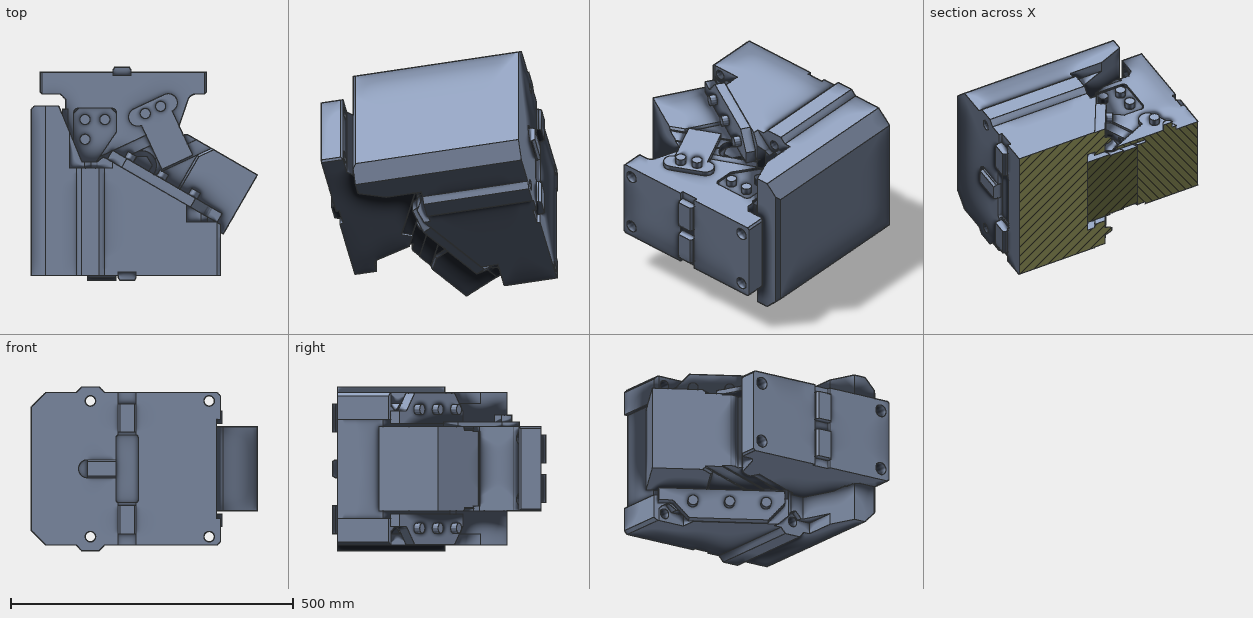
import cadquery as cq
import math

INCLINE_ANGLE = 30.0
DRIVE_ANGLE = 25.0
FAR = 400.0
CLEARANCE = 1.0

KEY_WIDTH = 32.0
KEY_LENGTH = 50.0
KEY_PROUD = 8.5
KEY_SEAT = 6.0
KEY_CHAMFER = (3.0, 5.0)

SCREW_RADIUS = 9.0
SCREW_HEIGHT = 12.0

BODY_HALF = 74.5

BASE_LEFT = -170.0
BASE_RIGHT = 165.0
BASE_TOP = 300.0
BASE_HALF = 135.0
BASE_LEFT_CHAMFER = 26.0
BASE_EDGE_CHAMFER = 6.0
TRACK_END_Y = 90.5

V_FLOOR = 201.0
V_LEFT = -80.0
V_RIGHT = -53.4
V_WALL_ANGLE = 22.5
TRACK_PEAK_X = -42.0
TRACK_PEAK_Y = TRACK_END_Y + (BASE_RIGHT - TRACK_PEAK_X) * math.tan(math.radians(INCLINE_ANGLE))
TRACK_LENGTH = (BASE_RIGHT - TRACK_PEAK_X) / math.cos(math.radians(INCLINE_ANGLE))

BOLT_X = (-65.0, 145.0)
BOLT_Z = 120.0
BOLT_HOLE = 18.0

LUG_X = BOLT_X[0]
LUG_HALF_WIDTH = 25.0
LUG_TOP_HALF_WIDTH = 15.5
LUG_PROUD = 10.0
LUG_LENGTH = 190.0

CHANNEL_HALF = 87.5
CHANNEL_DEPTH = 12.5
CHANNEL_END_X = 158.0

GIB_START = -231.0
GIB_LENGTH = 224.0
GIB_THICKNESS = 18.0
GIB_INNER = 80.0
GIB_HALF = 134.0
GIB_END_HALF = 102.0
GIB_FLAT_START = 29.2
GIB_FLAT_END = 169.8
GIB_FILLET = 10.0
GIB_SCREWS = (34.0, 99.0, 164.0)
GIB_SCREW_Z = 105.0

DRIVE_X, DRIVE_Y = -48.5, 210.2
DRIVE_DEPTH = 20.0


def mirrored(body):
    """The body together with its mirror image across Z = 0."""
    return body.union(body.mirror("XY"))


def prism(points, z_low, z_high):
    """XY outline extruded between two Z levels."""
    return cq.Workplane("XY", origin=(0, 0, z_low)).polyline(points).close().extrude(z_high - z_low)


def box(x, y, z):
    """Box from three (low, high) pairs."""
    size = [high - low for low, high in (x, y, z)]
    return cq.Workplane("XY").box(*size, centered=False).translate((x[0], y[0], z[0]))


def on_track(body):
    """Place a body drawn with X along the track and Y normal to it."""
    return body.rotate((0, 0, 0), (0, 0, 1), -INCLINE_ANGLE).translate((BASE_RIGHT, TRACK_END_Y, 0))


def on_drive(body):
    """Place a body drawn with X along the driving face and -Y below it."""
    return body.rotate((0, 0, 0), (0, 0, 1), DRIVE_ANGLE).translate((DRIVE_X, DRIVE_Y, 0))


def drive_point(along, below):
    """XY point at a distance along the driving face and a distance below it."""
    angle = math.radians(DRIVE_ANGLE)
    return (
        DRIVE_X + along * math.cos(angle) + below * math.sin(angle),
        DRIVE_Y + along * math.sin(angle) - below * math.cos(angle),
    )


def key():
    """Key along Z with its seat face on Y = 0 and both upper long edges chamfered."""
    height = KEY_SEAT + KEY_PROUD
    half = KEY_WIDTH / 2
    across, drop = KEY_CHAMFER
    return prism(
        [(-half, 0), (half, 0), (half, height - drop), (half - across, height),
         (across - half, height), (-half, height - drop)],
        -KEY_LENGTH / 2, KEY_LENGTH / 2,
    )


def base_block():
    side = BASE_EDGE_CHAMFER
    v_top_x = V_LEFT - (BASE_TOP - V_FLOOR) * math.tan(math.radians(V_WALL_ANGLE))
    plan = prism(
        [(BASE_LEFT, 0), (BASE_RIGHT, 0), (BASE_RIGHT, TRACK_END_Y), (TRACK_PEAK_X, TRACK_PEAK_Y),
         (V_RIGHT, V_FLOOR), (V_LEFT, V_FLOOR), (v_top_x, BASE_TOP),
         (BASE_LEFT + side, BASE_TOP), (BASE_LEFT, BASE_TOP - side)],
        -BASE_HALF, BASE_HALF,
    )
    corner = BASE_HALF - BASE_LEFT_CHAMFER
    front = (
        cq.Workplane("XZ")
        .polyline([(BASE_LEFT, -corner), (BASE_LEFT + BASE_LEFT_CHAMFER, -BASE_HALF),
                   (BASE_RIGHT - side, -BASE_HALF), (BASE_RIGHT, side - BASE_HALF),
                   (BASE_RIGHT, BASE_HALF - side), (BASE_RIGHT - side, BASE_HALF),
                   (BASE_LEFT + BASE_LEFT_CHAMFER, BASE_HALF), (BASE_LEFT, corner)])
        .close()
        .extrude(-BASE_TOP)
    )
    return plan.intersect(front)


def lug():
    """Trapezoidal rib along one bolt line, on the +Z side."""
    return (
        cq.Workplane("XZ")
        .polyline([(LUG_X - LUG_HALF_WIDTH, BASE_HALF), (LUG_X + LUG_HALF_WIDTH, BASE_HALF),
                   (LUG_X + LUG_TOP_HALF_WIDTH, BASE_HALF + LUG_PROUD),
                   (LUG_X - LUG_TOP_HALF_WIDTH, BASE_HALF + LUG_PROUD)])
        .close()
        .extrude(-LUG_LENGTH)
    )


POCKET_WIDTH = 75.3
POCKET_LEDGE = 25.8
POCKET_VALLEY = 37.4
POCKET_RADIUS = 15.5
POCKETS = ((-101.6, LUG_LENGTH), (104.5, 95.0))


def bolt_pocket(left, seat):
    """Clearance for a mounting bolt head: a 45-degree valley rounded on its right side."""
    top = BASE_HALF + LUG_PROUD
    right = left + POCKET_WIDTH
    valley_x = left + POCKET_VALLEY
    arc_run = POCKET_RADIUS * math.sin(math.radians(45))
    arc_rise = POCKET_RADIUS - arc_run
    slope_end_z = BASE_HALF - (right - valley_x - arc_run)
    valley_z = slope_end_z - arc_rise
    ledge_z = valley_z + POCKET_VALLEY - POCKET_LEDGE
    half_turn = math.radians(22.5)
    arc_mid = (
        valley_x + POCKET_RADIUS * math.sin(half_turn),
        valley_z + POCKET_RADIUS * (1 - math.cos(half_turn)),
    )
    return (
        cq.Workplane("XZ", origin=(0, seat, 0))
        .moveTo(left, top)
        .lineTo(left, ledge_z)
        .lineTo(left + POCKET_LEDGE, ledge_z)
        .lineTo(valley_x, valley_z)
        .threePointArc(arc_mid, (valley_x + arc_run, slope_end_z))
        .lineTo(right, BASE_HALF)
        .lineTo(right, top)
        .close()
        .extrude(-FAR)
    )


def slide_channel():
    """Sunken floor of the track, with the relief it leaves in the +X side."""
    half = (-CHANNEL_HALF, CHANNEL_HALF)
    floor = on_track(box((-TRACK_LENGTH, FAR / 4), (-CHANNEL_DEPTH, FAR / 4), half))
    return floor.union(box((CHANNEL_END_X, BASE_RIGHT + CLEARANCE), (-CLEARANCE, BASE_TOP), half))


def gib():
    """Retaining strip on the +Z side of the track, with its three screws."""
    start, end = GIB_START, GIB_START + GIB_LENGTH
    ramp_end = GIB_FLAT_END + GIB_FLAT_START
    strip = (
        cq.Workplane("XZ")
        .polyline([(start, GIB_INNER), (end, GIB_INNER), (end, GIB_END_HALF),
                   (start + ramp_end, GIB_END_HALF), (start + GIB_FLAT_END, GIB_HALF),
                   (start + GIB_FLAT_START, GIB_HALF), (start, GIB_END_HALF)])
        .close()
        .extrude(-GIB_THICKNESS)
        .edges(cq.selectors.NearestToPointSelector((start + ramp_end, GIB_THICKNESS / 2, GIB_END_HALF)))
        .fillet(GIB_FILLET)
    )
    screws = (
        cq.Workplane("XZ", origin=(0, GIB_THICKNESS, 0))
        .pushPoints([(start + along, GIB_SCREW_Z) for along in GIB_SCREWS])
        .circle(SCREW_RADIUS)
        .extrude(-SCREW_HEIGHT)
    )
    return on_track(strip.union(screws))


SIDE_KEY_Z = 90.0
RELIEF_HALF_WIDTH = 19.7
RELIEF_HALF_HEIGHT = 60.0
RELIEF_DEPTH = 9.0
RELIEF_CORNER = 5.0
CROSS_KEY_END = -70.0


def base_keyways():
    """Vertical keyway, its deeper middle relief and the horizontal keyway."""
    half = KEY_WIDTH / 2
    vertical = box((-half, half), (0, KEY_SEAT), (-BASE_HALF - CLEARANCE, BASE_HALF + CLEARANCE))
    relief = box(
        (-RELIEF_HALF_WIDTH, RELIEF_HALF_WIDTH), (0, RELIEF_DEPTH),
        (-RELIEF_HALF_HEIGHT, RELIEF_HALF_HEIGHT),
    ).edges("|Y").fillet(RELIEF_CORNER)
    cross = box((CROSS_KEY_END, 0), (0, KEY_SEAT), (-half, half))
    round_end = cq.Workplane("XZ", origin=(CROSS_KEY_END, 0, 0)).circle(half).extrude(-KEY_SEAT)
    return vertical.union(relief).union(cross).union(round_end)


def base_keys():
    seated = key().rotate((0, 0, 0), (0, 0, 1), 180).translate((0, KEY_SEAT, 0))
    keys = mirrored(seated.translate((0, 0, SIDE_KEY_Z)))
    cross = seated.rotate((0, 0, 0), (0, 1, 0), 90).translate((CROSS_KEY_END + KEY_LENGTH / 2, 0, 0))
    return keys.union(cross)


def bolt_holes():
    points = [(x, z) for x in BOLT_X for z in (-BOLT_Z, BOLT_Z)]
    return cq.Workplane("XZ").pushPoints(points).circle(BOLT_HOLE / 2).extrude(-BASE_TOP)


def make_base():
    body = base_block().union(mirrored(lug()))
    for left, seat in POCKETS:
        body = body.cut(mirrored(bolt_pocket(left, seat)))
    body = body.cut(slide_channel()).cut(bolt_holes()).cut(base_keyways())
    return body.union(mirrored(gib())).union(base_keys())


DRIVER_TOP = 360.0
PLATE_LEFT, PLATE_RIGHT = -154.0, 140.0
PLATE_BOTTOM = 321.0
PLATE_CHAMFER = 3.5
NECK_LEFT = -108.8
NECK_CHAMFER = 9.5
GUIDE_TOP = 294.5
GUIDE_LEFT = -114.6
GUIDE_RIGHT = -104.5
GUIDE_HALF = 70.0
NOSE_RIGHT = -54.8
NOSE_TIP = -4.0
FLANK_ANGLE = 19.0
FLANK_TOP_X = 111.2
FLANK_FILLET = 15.0
PAD_START, PAD_END = 9.0, 115.0
WING_HOLE_X = (-136.0, 122.0)
WING_HOLE_Z = 54.0
WING_HOLE = 22.0
DRIVER_KEY_X = -9.2
DRIVER_KEY_Z = 35.0


def v_wall_y(x):
    """Height of the left V wall at a given X."""
    return V_FLOOR + (V_LEFT - x) / math.tan(math.radians(V_WALL_ANGLE))


def flank_end():
    """Point where the +X flank meets the bottom of the wear pad."""
    flank = math.tan(math.radians(FLANK_ANGLE))
    drive = math.tan(math.radians(DRIVE_ANGLE))
    start_x, start_y = drive_point(0, DRIVE_DEPTH)
    y = (start_y + drive * (FLANK_TOP_X - flank * PLATE_BOTTOM - start_x)) / (1 - drive * flank)
    return (FLANK_TOP_X - flank * (PLATE_BOTTOM - y), y)


def driver_plate():
    plate = box((PLATE_LEFT, PLATE_RIGHT), (PLATE_BOTTOM, DRIVER_TOP), (-BODY_HALF, BODY_HALF))
    return plate.edges("|Y or (|Z and <Y)").chamfer(PLATE_CHAMFER)


def driver_core():
    mid_y = (PLATE_BOTTOM + DRIVER_TOP) / 2
    core = prism(
        [(NECK_LEFT - NECK_CHAMFER, mid_y), (NECK_LEFT - NECK_CHAMFER, PLATE_BOTTOM),
         (NECK_LEFT, PLATE_BOTTOM - NECK_CHAMFER), (NECK_LEFT, GUIDE_TOP), (GUIDE_RIGHT, GUIDE_TOP),
         (GUIDE_RIGHT, v_wall_y(GUIDE_RIGHT)), (V_LEFT, V_FLOOR), (NOSE_RIGHT, V_FLOOR),
         drive_point(NOSE_TIP, 0), drive_point(PAD_END, 0), drive_point(PAD_END, DRIVE_DEPTH), flank_end(),
         (FLANK_TOP_X, PLATE_BOTTOM), (PLATE_RIGHT - 2 * PLATE_CHAMFER, PLATE_BOTTOM),
         (PLATE_RIGHT - 2 * PLATE_CHAMFER, mid_y)],
        -BODY_HALF, BODY_HALF,
    )
    return core.edges(
        cq.selectors.NearestToPointSelector((FLANK_TOP_X, PLATE_BOTTOM, 0))
    ).fillet(FLANK_FILLET)


def guide_pad():
    return prism(
        [(GUIDE_RIGHT, GUIDE_TOP), (GUIDE_LEFT, GUIDE_TOP), (GUIDE_LEFT, v_wall_y(GUIDE_LEFT)),
         (GUIDE_RIGHT, v_wall_y(GUIDE_RIGHT))],
        -GUIDE_HALF, GUIDE_HALF,
    )


def wear_pad():
    """Pad under the driving face, filling the gap between the nose and the right V wall."""
    return prism(
        [drive_point(NOSE_TIP, 0), (NOSE_RIGHT, V_FLOOR), (V_RIGHT, V_FLOOR), (TRACK_PEAK_X, TRACK_PEAK_Y),
         drive_point(PAD_START, DRIVE_DEPTH), drive_point(PAD_END, DRIVE_DEPTH), drive_point(PAD_END, 0)],
        -GUIDE_HALF, GUIDE_HALF,
    )


STOP_LEFT, STOP_RIGHT = -94.7, -19.0
STOP_TOP = 296.0
STOP_SHOULDER = 254.0
RECESS_CORNER = 8.0
RECESS_FLOOR = 66.0
STOP_CHAMFER = 9.0
STOP_FACE = 70.5
STOP_SCREWS = ((-74.5, 276.0), (-39.5, 276.0), (-74.5, 241.0))


def stop_outline(z_low, z_high):
    """Outline shared by the stop plate and its recess, tapering down to the nose."""
    return prism(
        [(STOP_LEFT, STOP_TOP), (STOP_LEFT, v_wall_y(STOP_LEFT)), (V_LEFT, V_FLOOR),
         (NOSE_RIGHT, V_FLOOR), (STOP_RIGHT, STOP_SHOULDER), (STOP_RIGHT, STOP_TOP)],
        z_low, z_high,
    )


def stop_recess():
    return stop_outline(RECESS_FLOOR, BODY_HALF).faces(">Y").edges("|Z").fillet(RECESS_CORNER)


def stop_plate():
    """Plate in the recess, with its upper corners cut off and its three screws."""
    plate = stop_outline(RECESS_FLOOR, STOP_FACE).faces(">Y").edges("|Z").chamfer(STOP_CHAMFER)
    return plate.union(screws_on(STOP_SCREWS, STOP_FACE))


def screws_on(points, level):
    return (
        cq.Workplane("XY", origin=(0, 0, level))
        .pushPoints(points)
        .circle(SCREW_RADIUS)
        .extrude(SCREW_HEIGHT)
    )


ARM_X, ARM_Y = 45.6, 293.0
ARM_WIDTH = 60.0
ARM_HEAD_RADIUS = 16.0
ARM_LENGTH = 102.0
ARM_THICKNESS = 8.3
ARM_SCREW_PITCH = 30.0


def return_arm():
    """Hook plate on the +Z face of the driver, reaching down over the slider."""
    half = ARM_WIDTH / 2
    head_width = 2 * ARM_HEAD_RADIUS
    head = cq.Workplane("XY").slot2D(ARM_WIDTH + head_width, head_width).extrude(ARM_THICKNESS)
    strap = box((-half, half), (-ARM_LENGTH, 0), (0, ARM_THICKNESS))
    pitch = ARM_SCREW_PITCH / 2
    arm = head.union(strap).union(screws_on([(-pitch, 0), (pitch, 0)], ARM_THICKNESS))
    return arm.rotate((0, 0, 0), (0, 0, 1), DRIVE_ANGLE).translate((ARM_X, ARM_Y, BODY_HALF))


def wing_holes():
    """Mounting holes through both wings of the plate."""
    points = [(x, z) for x in WING_HOLE_X for z in (-WING_HOLE_Z, WING_HOLE_Z)]
    drilled = cq.Workplane("XZ", origin=(0, DRIVER_TOP, 0)).pushPoints(points).circle(WING_HOLE / 2)
    return drilled.extrude(DRIVER_TOP - PLATE_BOTTOM + FLANK_FILLET)


def make_driver():
    body = driver_plate().union(driver_core()).union(guide_pad()).union(wear_pad())
    body = body.cut(stop_recess()).union(stop_plate())
    half = KEY_WIDTH / 2
    seat = DRIVER_TOP - KEY_SEAT
    keyway = box(
        (DRIVER_KEY_X - half, DRIVER_KEY_X + half), (seat, DRIVER_TOP), (-BODY_HALF, BODY_HALF)
    )
    keys = mirrored(key().translate((DRIVER_KEY_X, seat, DRIVER_KEY_Z)))
    return body.cut(keyway).cut(wing_holes()).union(keys).union(return_arm())


SLIDER_START, SLIDER_END = -222.0, 12.82
SLIDER_HEIGHT = 108.5
SLIDER_TOP = 28.0
RIDGE_START, RIDGE_END = 45.0, 142.0
TOP_FILLET = 10.0
CROWN_HALF, SHOULDER_HALF, SKIRT_HALF = 66.0, 68.0, 70.5
SHOULDER_DEPTH, SKIRT_DEPTH = 45.0, 70.0
BLOCK_START = -97.0
BLOCK_BEVEL = 3.9

BORE_X, BORE_Y = 25.8, 194.8
BORE_RADIUS = 26.0
BORE_FLOOR = 56.0
HEX_DIAMETER = 37.0
HEX_HEIGHT = 8.0


def above_drive(depth):
    """Everything higher than a plane parallel to the driving face."""
    return on_drive(box((-FAR, FAR), (-depth, FAR), (-FAR, FAR)))


def slider_layer(start, half, depth):
    layer = on_track(box((start, SLIDER_END), (-CHANNEL_DEPTH, SLIDER_HEIGHT), (-half, half)))
    return layer.cut(above_drive(depth))


def bevel_strip():
    """Triangular cutter along Y for a 45-degree bevel on the +Z edge of a wall at X = 0."""
    return (
        cq.Workplane("XZ", origin=(0, FAR, 0))
        .polyline([(0, BODY_HALF - BLOCK_BEVEL), (BLOCK_BEVEL, BODY_HALF), (0, BODY_HALF)])
        .close()
        .extrude(2 * FAR)
    )


def slider_block():
    """Full-width block at the +X end, bevelled where it steps down to the skirt and the shoulder."""
    block = slider_layer(BLOCK_START, BODY_HALF, SKIRT_DEPTH)
    track_bevel = on_track(bevel_strip().translate((BLOCK_START, 0, 0)))
    drive_bevel = on_drive(bevel_strip().rotate((0, 0, 0), (0, 0, 1), -90).translate((0, -SKIRT_DEPTH, 0)))
    return block.cut(mirrored(track_bevel)).cut(mirrored(drive_bevel))


def make_slider():
    crown = slider_layer(SLIDER_START, CROWN_HALF, SLIDER_TOP).edges("|Z").edges(">Y").fillet(TOP_FILLET)
    ridge = on_drive(
        box((RIDGE_START, RIDGE_END), (-SHOULDER_DEPTH, -DRIVE_DEPTH), (-CROWN_HALF, CROWN_HALF))
    )
    shoulder = slider_layer(SLIDER_START, SHOULDER_HALF, SHOULDER_DEPTH)
    skirt = slider_layer(SLIDER_START, SKIRT_HALF, SKIRT_DEPTH)
    block = slider_block()
    body = crown.union(ridge).union(shoulder).union(skirt).union(block)
    bore = cq.Workplane("XY", origin=(BORE_X, BORE_Y, BORE_FLOOR)).circle(BORE_RADIUS).extrude(FAR)
    hexagon = (
        cq.Workplane("XY", origin=(BORE_X, BORE_Y, BORE_FLOOR)).polygon(6, HEX_DIAMETER).extrude(HEX_HEIGHT)
    )
    return body.cut(bore).union(hexagon)


base = make_base()
driver = make_driver()
slider = make_slider()

result = cq.Compound.makeCompound([base.val(), driver.val(), slider.val()])